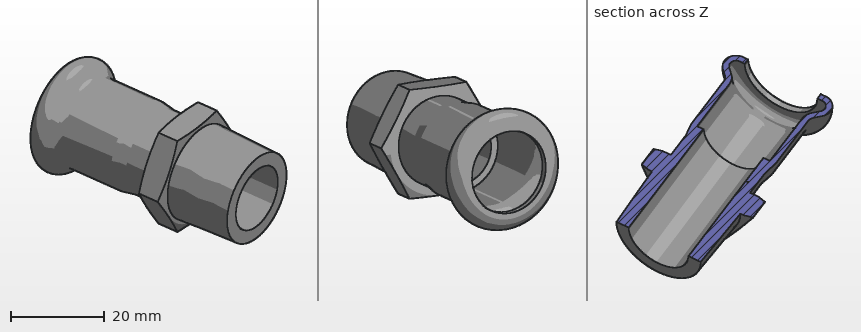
import cadquery as cq
import math

total_length = 52.0
socket_end_x = 21.0
neck_start_x = 24.5
hex_start_x = 30.5
hex_length = 6.0
hex_end_x = hex_start_x + hex_length

bead_outer_radius = 26.5 / 2
tube_radius = 21.0 / 2
neck_radius = 19.8 / 2
wall = 1.5
socket_bore_radius = tube_radius - wall
through_bore_radius = 14.8 / 2
thread_base_radius = 22.1 / 2
thread_tip_radius = 21.0 / 2
hex_across_flats = 24.0
hex_across_corners = hex_across_flats / math.cos(math.radians(30))

bead_radius = 2.95
flank_angle = 45
bead_center = (bead_radius, bead_outer_radius - bead_radius)
flank_blend_radius = 2.0
blend_center_radius = tube_radius + flank_blend_radius
blend_center = (
    bead_center[0]
    + (bead_radius + flank_blend_radius) / math.sin(math.radians(flank_angle))
    - (blend_center_radius - bead_center[1]) / math.tan(math.radians(flank_angle)),
    blend_center_radius,
)

chamfer_face_radius = 23.8 / 2
chamfer_depth = 0.5


def revolve_about_x(profile):
    return profile.close().revolve(360, (0, 0, 0), (1, 0, 0))


def point_on_arc(center, radius, degrees):
    angle = math.radians(degrees)
    return center[0] + radius * math.cos(angle), center[1] + radius * math.sin(angle)


def bead_and_socket(profile, inset):
    """Continue a profile over the bead and along the socket, inset into the wall."""
    crest_radius = bead_radius - inset
    blend_radius = flank_blend_radius + inset
    return (
        profile.lineTo(*point_on_arc(bead_center, crest_radius, 180))
        .threePointArc(
            point_on_arc(bead_center, crest_radius, 90),
            point_on_arc(bead_center, crest_radius, 90 - flank_angle),
        )
        .lineTo(*point_on_arc(blend_center, blend_radius, 270 - flank_angle))
        .threePointArc(
            point_on_arc(blend_center, blend_radius, 270 - flank_angle / 2),
            point_on_arc(blend_center, blend_radius, 270),
        )
        .lineTo(socket_end_x, tube_radius - inset)
    )


def outer_body():
    profile = (
        bead_and_socket(cq.Workplane("XY"), 0)
        .lineTo(neck_start_x, neck_radius)
        .lineTo(hex_end_x, neck_radius)
        .lineTo(hex_end_x, thread_base_radius)
        .lineTo(total_length, thread_tip_radius)
        .lineTo(total_length, 0)
    )
    return revolve_about_x(profile)


def hex_collar():
    prism = (
        cq.Workplane("YZ", origin=(hex_start_x, 0, 0))
        .polygon(6, hex_across_corners)
        .extrude(hex_length)
    )
    corner_radius = hex_across_corners / 2
    envelope = (
        cq.Workplane("XY")
        .moveTo(hex_start_x, 0)
        .lineTo(hex_start_x, chamfer_face_radius)
        .lineTo(hex_start_x + chamfer_depth, corner_radius)
        .lineTo(hex_end_x - chamfer_depth, corner_radius)
        .lineTo(hex_end_x, chamfer_face_radius)
        .lineTo(hex_end_x, 0)
    )
    return prism.intersect(revolve_about_x(envelope))


def bore():
    mouth = (
        cq.Workplane("XY")
        .lineTo(0, socket_bore_radius)
        .lineTo(wall, socket_bore_radius)
    )
    profile = (
        bead_and_socket(mouth, wall)
        .lineTo(socket_end_x, through_bore_radius)
        .lineTo(total_length, through_bore_radius)
        .lineTo(total_length, 0)
    )
    return revolve_about_x(profile)


result = outer_body().union(hex_collar()).cut(bore())